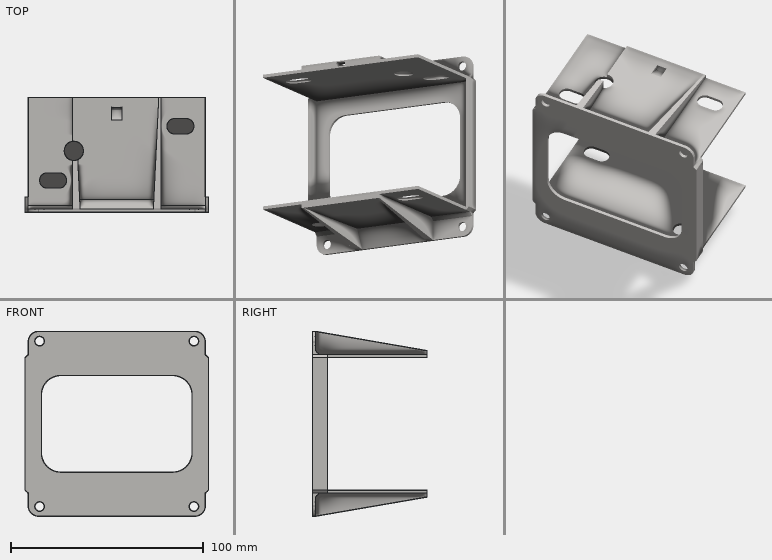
import cadquery as cq


total_width = 95.2
depth = 59.6
height = 96.0
sheet = 1.6

inner_width = total_width - 2 * sheet
corner_radius = 5.5
window_width = 78.0
window_height = 50.0
window_radius = 10.0
screw_hole_diameter = 4.8
screw_spacing_x = 80.1
screw_spacing_z = 85.8

wall_depth = 8.0

shelf_drop = 12.0
shelf_z = height / 2 - shelf_drop
shelf_root_chamfer = 1.9

block_width = 45.9
recess_drop = 10.0
recess_z = height / 2 - recess_drop
rib_front_thickness = 3.9
rib_back_thickness = 1.2
gusset_run = 5.1

slot_length = 14.0
slot_width = 8.0
slot_x = 33.0
front_slot_y = 16.5
back_slot_y = 44.6

cable_hole_diameter = 10.0
cable_hole_x = -22.3
cable_hole_y = 31.9

pocket_width = 5.5
pocket_front_y = 47.8
pocket_back_y = 54.4
pocket_ramp_run = 5.9
pocket_depth = 2.9
tunnel_height = 2.3
tunnel_corner_radius = 0.9


def side_profile(points, x_min, x_max):
    """Extrude an outline of (Y, Z) points from x_min to x_max."""
    return cq.Workplane("YZ").polyline(points).close().extrude(x_max - x_min).translate((x_min, 0, 0))


def plan_prism(points, z_min, z_max):
    """Extrude an outline of (X, Y) points from z_min to z_max."""
    return cq.Workplane("XY").workplane(offset=z_min).polyline(points).close().extrude(z_max - z_min)


def make_front():
    """Faceplate with the two side walls, before any openings are cut."""
    plate = cq.Workplane("XY").box(inner_width, sheet, height, centered=(True, False, True))
    plate = plate.edges("|Y").fillet(corner_radius)

    band = cq.Workplane("XY").box(total_width, wall_depth, 2 * shelf_z, centered=(True, False, True))
    band = band.edges("|Y").chamfer(sheet)
    cavity = cq.Workplane("XY").box(inner_width, wall_depth, 2 * shelf_z, centered=(True, False, True))
    cavity = cavity.translate((0, sheet, 0))
    return plate.union(band.cut(cavity))


def make_shelf():
    """Upper shelf with its ramped block, slots and the bevel at its root."""
    half_inner = inner_width / 2
    half_block = block_width / 2
    plate_top = height / 2

    shelf = cq.Workplane("XY").box(inner_width, depth, sheet, centered=(True, False, False))
    shelf = shelf.translate((0, 0, shelf_z - sheet))

    root_bevel = side_profile(
        [
            (sheet, shelf_z),
            (sheet + shelf_root_chamfer, shelf_z),
            (sheet, shelf_z + shelf_root_chamfer),
        ],
        -half_inner,
        half_inner,
    )

    block = side_profile(
        [(sheet, shelf_z), (depth, shelf_z), (depth, recess_z), (sheet, plate_top)],
        -half_block,
        half_block,
    )
    half_front = half_block - rib_front_thickness
    half_back = half_block - rib_back_thickness
    between_ribs = plan_prism(
        [(-half_front, sheet), (half_front, sheet), (half_back, depth), (-half_back, depth)],
        recess_z,
        plate_top,
    )
    gusset = side_profile(
        [(sheet, recess_z), (sheet + gusset_run, recess_z), (sheet, plate_top)],
        -half_block,
        half_block,
    )
    block = block.cut(between_ribs.cut(gusset))

    slots = (
        cq.Workplane("XY")
        .workplane(offset=shelf_z - sheet)
        .pushPoints([(-slot_x, front_slot_y), (slot_x, back_slot_y)])
        .slot2D(slot_length, slot_width)
        .extrude(sheet)
    )
    return shelf.union(root_bevel).union(block).cut(slots)


def make_window():
    """Rounded opening through the faceplate."""
    window = cq.Workplane("XY").box(window_width, sheet, window_height, centered=(True, False, True))
    return window.edges("|Y").fillet(window_radius)


def make_screw_holes():
    """Four corner holes through the faceplate only."""
    return (
        cq.Workplane("XZ")
        .rarray(screw_spacing_x, screw_spacing_z, 2, 2)
        .circle(screw_hole_diameter / 2)
        .extrude(-sheet)
    )


def make_cable_hole():
    """Round hole through the upper shelf that also removes the left rib where it passes.

    The rib behind the hole is taken down to the recess floor.
    """
    hole = (
        cq.Workplane("XY")
        .workplane(offset=shelf_z - sheet)
        .center(cable_hole_x, cable_hole_y)
        .circle(cable_hole_diameter / 2)
        .extrude(height / 2)
    )
    rib_relief = cq.Workplane("XY").box(
        rib_front_thickness, depth - cable_hole_y, shelf_drop, centered=False
    )
    return hole.union(rib_relief.translate((-block_width / 2, cable_hole_y, recess_z)))


def make_cable_pocket():
    """Ramped pocket in the recess floor with a round-cornered tunnel to the back edge."""
    floor_z = recess_z - pocket_depth
    tunnel_axis_z = floor_z + tunnel_height / 2
    ramp_foot_y = pocket_front_y + pocket_ramp_run
    pocket = side_profile(
        [
            (pocket_front_y, recess_z),
            (ramp_foot_y, floor_z),
            (ramp_foot_y, tunnel_axis_z),
            (pocket_back_y, tunnel_axis_z),
            (pocket_back_y, recess_z),
        ],
        -pocket_width / 2,
        pocket_width / 2,
    )
    tunnel_length = depth - ramp_foot_y
    tunnel = cq.Workplane("XY").box(pocket_width, tunnel_length, tunnel_height, centered=(True, False, False))
    tunnel = tunnel.edges("|Y").fillet(tunnel_corner_radius).translate((0, ramp_foot_y, floor_z))
    return pocket.union(tunnel)


upper_shelf = make_shelf()
lower_shelf = upper_shelf.rotate((0, 0, 0), (0, 1, 0), 180)
upper_shelf = upper_shelf.cut(make_cable_hole()).cut(make_cable_pocket())

result = make_front().union(upper_shelf).union(lower_shelf)
result = result.cut(make_window()).cut(make_screw_holes())